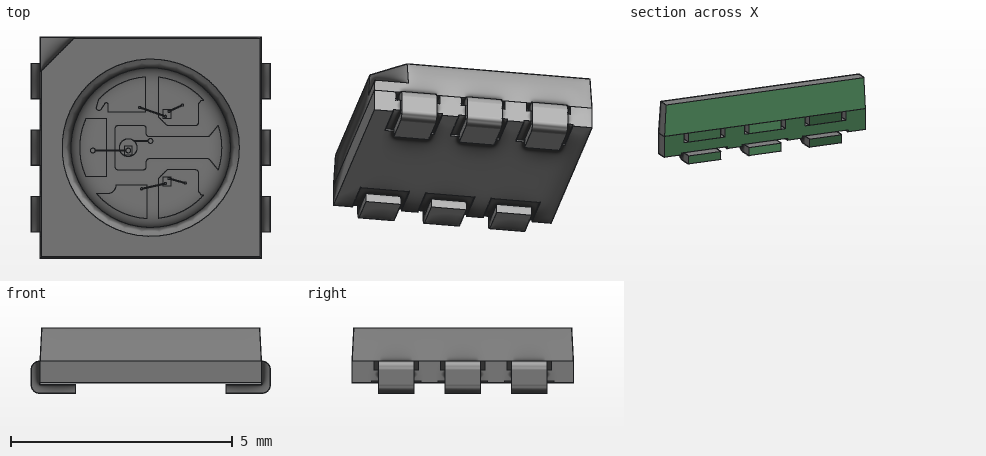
import cadquery as cq
import math

LENGTH_OVER_LEADS = 5.4
BODY_SIDE = 5.0
TOTAL_HEIGHT = 1.48
FRAME_HEIGHT = 0.75
BASE_HEIGHT = 0.49
FRAME_BOTTOM = TOTAL_HEIGHT - FRAME_HEIGHT
BASE_BOTTOM = FRAME_BOTTOM - BASE_HEIGHT

FRAME_DRAFT = 3.0
CUP_TOP_DIAMETER = 4.0
CUP_FLOOR_DIAMETER = 3.6
CORNER_CUT_LEG = 0.8
CORNER_CUT_DEPTH = 0.49

LEADS_PER_SIDE = 3
LEAD_PITCH = 1.5
LEAD_WIDTH = 0.805
LEAD_THICKNESS = (LENGTH_OVER_LEADS - BODY_SIDE) / 2
LEAD_BEND_RADIUS = 0.195
LEAD_FOOT_LENGTH = 1.005
LEAD_TAB_DEPTH = 0.325
LEAD_TAB_POCKET_WIDTH = 1.01
LEAD_ROWS = [LEAD_PITCH * (row - (LEADS_PER_SIDE - 1) / 2) for row in range(LEADS_PER_SIDE)]

FOOT_SLOT_WIDTH = 1.125
FOOT_SLOT_HEIGHT = 0.045
FOOT_SLOT_LENGTH = LEAD_FOOT_LENGTH

PAD_RELIEF = 0.005
MOUNT_RELIEF = 0.01
CHIP_RELIEF = 0.015
WIRE_RELIEF = 0.02
PAD_RADIUS = 1.605
PAD_FILLET = 0.07
CHIP_LENGTH = 0.205
CHIP_WIDTH = 0.175
MOUNT_DIAMETER = 0.4
WIRE_WIDTH = 0.02
LARGE_BOND_DIAMETER = 0.11
SMALL_BOND_DIAMETER = 0.05
MOUNT_CENTRE = (-0.51, 0)
MAIN_CHIP_CENTRE = (MOUNT_CENTRE[0], -0.065)
LEFT_PAD_BOND = (-1.305, MAIN_CHIP_CENTRE[1])
SIDE_CHIP_X = 0.365
SIDE_CHIP_Y = 0.76
SIDE_WIRES = [
    ((-0.25, 0.905), (0.33, 0.71)),
    ((0.41, 0.82), (0.72, 0.96)),
    ((-0.205, -0.93), (0.33, -0.81)),
    ((0.41, -0.695), (0.78, -0.8)),
]


def rim_point(x=None, y=None, sign=1):
    """Point of the pad circle at a given x or y; sign picks one of the two solutions."""
    if x is None:
        return (sign * math.sqrt(PAD_RADIUS**2 - y**2), y)
    return (x, sign * math.sqrt(PAD_RADIUS**2 - x**2))


def rim_middle(start, end):
    """Point of the pad circle halfway between two of its points."""
    middle = (start[0] + end[0], start[1] + end[1])
    stretch = PAD_RADIUS / math.hypot(*middle)
    return (middle[0] * stretch, middle[1] * stretch)


def rim_arc(outline, start, end):
    """Continue an outline along the pad circle."""
    return outline.threePointArc(rim_middle(start, end), end)


def on_floor():
    return cq.Workplane("XY", origin=(0, 0, FRAME_BOTTOM))


def left_pad():
    half_width = 0.655
    inner_x = -1.0
    lower = rim_point(y=-half_width, sign=-1)
    upper = rim_point(y=half_width, sign=-1)
    outline = on_floor().moveTo(inner_x, half_width).lineTo(inner_x, -half_width).lineTo(*lower)
    return rim_arc(outline, lower, upper).close().extrude(PAD_RELIEF)


def central_pad():
    head_left, head_right, head_half = -0.805, -0.1, 0.5
    neck_half = 0.25
    flare_x = 1.31
    lower = rim_point(y=-head_half)
    upper = rim_point(y=head_half)
    outline = on_floor().moveTo(flare_x, neck_half).lineTo(head_right, neck_half)
    outline = outline.lineTo(head_right, head_half).lineTo(head_left, head_half)
    outline = outline.lineTo(head_left, -head_half).lineTo(head_right, -head_half)
    outline = outline.lineTo(head_right, -neck_half).lineTo(flare_x, -neck_half).lineTo(*lower)
    pad = rim_arc(outline, lower, upper).close().extrude(PAD_RELIEF)
    edges_except_tips = pad.edges("|Z").edges("not >X")
    return edges_except_tips.fillet(PAD_FILLET)


def upper_right_pad():
    left_x, right_x, bottom_y = 0.18, 1.075, 0.495
    chamfer = 0.195
    notch_y = 0.985
    notch_tip_x, notch_tip_y = 1.14, 1.07
    upper = rim_point(x=left_x)
    tip = rim_point(y=notch_tip_y)
    outline = on_floor().moveTo(*upper).lineTo(left_x, bottom_y + chamfer)
    outline = outline.lineTo(left_x + chamfer, bottom_y).lineTo(right_x - PAD_FILLET, bottom_y)
    outline = outline.radiusArc((right_x, bottom_y + PAD_FILLET), -PAD_FILLET)
    outline = outline.lineTo(right_x, notch_y).lineTo(notch_tip_x, notch_tip_y).lineTo(*tip)
    return rim_arc(outline, tip, upper).close().extrude(PAD_RELIEF)


def lower_right_pad():
    return upper_right_pad().mirror("XZ")


def upper_left_pad():
    right_x, bottom_y = -0.12, 0.8
    hook_right, hook_left, hook_top, hook_side_y = -0.96, -1.05, 1.015, 0.97
    lobe_right, lobe_left, lobe_bottom, lobe_side_y = -1.105, -1.23, 0.84, 0.89
    upper = rim_point(x=right_x)
    rim_end = rim_point(x=-1.175)
    outline = on_floor().moveTo(*upper).lineTo(right_x, bottom_y).lineTo(hook_right, bottom_y)
    outline = outline.lineTo(hook_right, hook_side_y)
    outline = outline.threePointArc(((hook_right + hook_left) / 2, hook_top), (hook_left, hook_side_y))
    outline = outline.lineTo(lobe_right, lobe_side_y)
    outline = outline.threePointArc(((lobe_right + lobe_left) / 2, lobe_bottom), (lobe_left, lobe_side_y))
    return rim_arc(outline.lineTo(*rim_end), rim_end, upper).close().extrude(PAD_RELIEF)


def lower_left_pad():
    right_x, top_y = -0.08, -0.84
    corner_x, corner_radius = -0.785, 0.195
    step_y = top_y - corner_radius
    lower = rim_point(x=right_x, sign=-1)
    tip = rim_point(y=step_y, sign=-1)
    outline = on_floor().moveTo(*lower).lineTo(right_x, top_y).lineTo(corner_x, top_y)
    outline = outline.radiusArc((corner_x - corner_radius, step_y), corner_radius).lineTo(*tip)
    return rim_arc(outline, tip, lower).close().extrude(PAD_RELIEF)


PAD_MAKERS = [left_pad, central_pad, upper_right_pad, lower_right_pad, upper_left_pad, lower_left_pad]


def chip(x, y):
    return on_floor().center(x, y).rect(CHIP_WIDTH, CHIP_LENGTH).extrude(CHIP_RELIEF)


def chip_mount():
    return on_floor().center(*MOUNT_CENTRE).circle(MOUNT_DIAMETER / 2).extrude(MOUNT_RELIEF)


def bond(point, diameter):
    return on_floor().center(*point).circle(diameter / 2).extrude(WIRE_RELIEF)


def wire(start, end):
    """Straight flat wire between two points of the floor."""
    run_x = end[0] - start[0]
    run_y = end[1] - start[1]
    strip = on_floor().rect(math.hypot(run_x, run_y), WIRE_WIDTH).extrude(WIRE_RELIEF)
    strip = strip.rotate((0, 0, 0), (0, 0, 1), math.degrees(math.atan2(run_y, run_x)))
    return strip.translate(((start[0] + end[0]) / 2, (start[1] + end[1]) / 2, 0))


def bonded_wire(start, end, diameter):
    """Wire with a round bond at each end."""
    return wire(start, end).union(bond(start, diameter)).union(bond(end, diameter))


def mount_wire():
    """Wire that runs from the edge of the round mount to a bond on the central pad."""
    bond_centre = (-0.005, 0.15)
    reach = math.sqrt((MOUNT_DIAMETER / 2) ** 2 - bond_centre[1] ** 2)
    mount_edge = (MOUNT_CENTRE[0] + reach, bond_centre[1])
    return wire(mount_edge, bond_centre).union(bond(bond_centre, LARGE_BOND_DIAMETER))


def make_base():
    base = cq.Workplane("XY", origin=(0, 0, BASE_BOTTOM))
    base = base.rect(BODY_SIDE, BODY_SIDE).extrude(BASE_HEIGHT)
    tab_pocket = cq.Workplane("XY").box(2 * LEAD_TAB_DEPTH, LEAD_TAB_POCKET_WIDTH, 2 * LEAD_THICKNESS)
    foot_slot = cq.Workplane("XY").box(2 * FOOT_SLOT_LENGTH, FOOT_SLOT_WIDTH, 2 * FOOT_SLOT_HEIGHT)
    for side in (-1, 1):
        for y in LEAD_ROWS:
            side_x = side * BODY_SIDE / 2
            base = base.cut(tab_pocket.translate((side_x, y, FRAME_BOTTOM)))
            base = base.cut(foot_slot.translate((side_x, y, BASE_BOTTOM)))
    for make_pad in PAD_MAKERS:
        base = base.union(make_pad())
    base = base.union(chip_mount()).union(chip(*MAIN_CHIP_CENTRE)).union(mount_wire())
    base = base.union(bonded_wire(LEFT_PAD_BOND, MAIN_CHIP_CENTRE, LARGE_BOND_DIAMETER))
    for y in (-SIDE_CHIP_Y, SIDE_CHIP_Y):
        base = base.union(chip(SIDE_CHIP_X, y))
    for start, end in SIDE_WIRES:
        base = base.union(bonded_wire(start, end, SMALL_BOND_DIAMETER))
    return base


def make_frame():
    frame = cq.Workplane("XY", origin=(0, 0, FRAME_BOTTOM))
    frame = frame.rect(BODY_SIDE, BODY_SIDE).extrude(FRAME_HEIGHT, taper=FRAME_DRAFT)
    cup = (
        on_floor()
        .circle(CUP_FLOOR_DIAMETER / 2)
        .workplane(offset=FRAME_HEIGHT)
        .circle(CUP_TOP_DIAMETER / 2)
        .loft()
    )
    corner = BODY_SIDE / 2
    corner_cut = (
        cq.Workplane("XY", origin=(0, 0, TOTAL_HEIGHT - CORNER_CUT_DEPTH))
        .polyline(
            [
                (-corner, corner),
                (-corner, corner - CORNER_CUT_LEG),
                (-corner + CORNER_CUT_LEG, corner),
            ]
        )
        .close()
        .extrude(CORNER_CUT_DEPTH)
    )
    return frame.cut(cup).cut(corner_cut)


def make_lead(side, y):
    """C-shaped lead at one row: tab in the base, upright outside it, foot below it."""
    outer_x = LENGTH_OVER_LEADS / 2
    inner_x = BODY_SIDE / 2
    lead = (
        cq.Workplane("XZ", origin=(0, LEAD_WIDTH / 2, 0))
        .polyline(
            [
                (inner_x - LEAD_TAB_DEPTH, FRAME_BOTTOM),
                (outer_x, FRAME_BOTTOM),
                (outer_x, 0),
                (outer_x - LEAD_FOOT_LENGTH, 0),
                (outer_x - LEAD_FOOT_LENGTH, LEAD_THICKNESS),
                (inner_x, LEAD_THICKNESS),
                (inner_x, FRAME_BOTTOM - LEAD_THICKNESS),
                (inner_x - LEAD_TAB_DEPTH, FRAME_BOTTOM - LEAD_THICKNESS),
            ]
        )
        .close()
        .extrude(LEAD_WIDTH)
    )
    lead = lead.edges("|Y and >X").fillet(LEAD_BEND_RADIUS)
    if side < 0:
        lead = lead.mirror("YZ")
    return lead.translate((0, y, 0))


frame = make_frame()
base = make_base()
leads = [make_lead(side, y) for side in (-1, 1) for y in LEAD_ROWS]

result = cq.Compound.makeCompound([frame.val(), base.val(), *[lead.val() for lead in leads]])